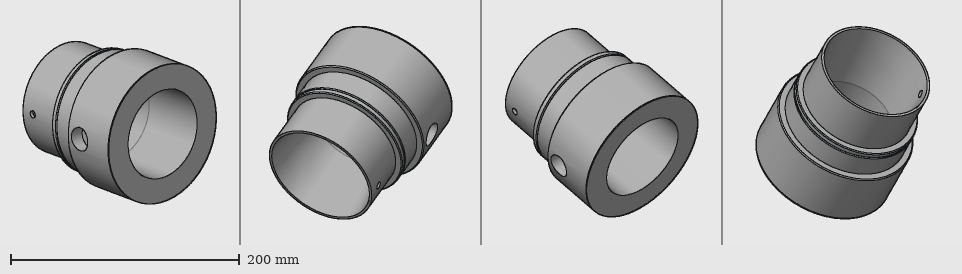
import cadquery as cq

total_length = 126.2
spigot_length = 44.6
groove_start = 49.3
groove_bottom = 50.2
groove_end = 51.1
head_start = 72.3

spigot_diameter = 101.6
shoulder_diameter = 113.9
groove_diameter = 111.9
head_diameter = 127.0
rim_diameter = 127.1

shoulder_chamfer = 0.9
head_chamfer = 1.0
rim_width = 1.0

bore_taper_length = 63.6
bore_mouth_diameter = 96.9
bore_end_diameter = 81.4

vent_diameter = 6.4
vent_position = 12.7
socket_diameter = 21.4
socket_position = 88.1
socket_depth = 12.7


def revolved_body():
    """Stepped outer sleeve with a V-groove, a beveled rim and a tapered bore, revolved about the X axis."""
    spigot_radius = spigot_diameter / 2
    shoulder_radius = shoulder_diameter / 2
    groove_radius = groove_diameter / 2
    head_radius = head_diameter / 2
    rim_radius = rim_diameter / 2
    rim_start = total_length - rim_width
    profile = [
        (0, bore_mouth_diameter / 2),
        (0, spigot_radius),
        (spigot_length, spigot_radius),
        (spigot_length, shoulder_radius - shoulder_chamfer),
        (spigot_length + shoulder_chamfer, shoulder_radius),
        (groove_start, shoulder_radius),
        (groove_bottom, groove_radius),
        (groove_end, shoulder_radius),
        (head_start, shoulder_radius),
        (head_start, head_radius - head_chamfer),
        (head_start + head_chamfer, head_radius),
        (rim_start, head_radius),
        (rim_start, rim_radius),
        (total_length, head_radius),
        (total_length, bore_end_diameter / 2),
        (bore_taper_length, bore_end_diameter / 2),
    ]
    return cq.Workplane("XY").polyline(profile).close().revolve(360, (0, 0, 0), (1, 0, 0))


def radial_hole(position, diameter, inner_radius):
    """Cutter running along -Y from inner_radius out past the head."""
    return (
        cq.Workplane("XZ", origin=(position, -inner_radius, 0))
        .circle(diameter / 2)
        .extrude(rim_diameter / 2)
    )


vent = radial_hole(vent_position, vent_diameter, 0)
socket = radial_hole(socket_position, socket_diameter, head_diameter / 2 - socket_depth)

result = revolved_body().cut(vent).cut(socket)